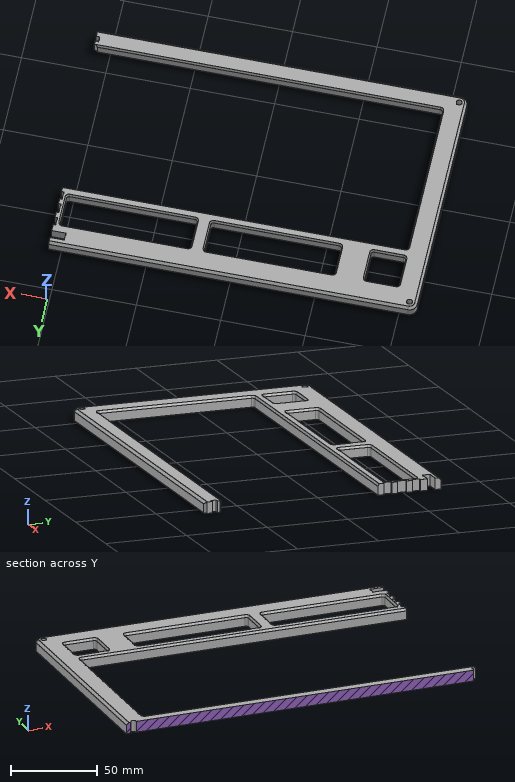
import cadquery as cq

length = 219.8
width = 147.3
thickness = 7.0
corner_radius = 4.6
outer_chamfer = 1.5
inner_chamfer_width = 0.77
inner_chamfer_depth = 1.5

upper_rail_end = 217.7
upper_rail_width = 39.4
lower_rail_width = 10.8
left_rail_width = 13.0
inner_radius = 1.5

hole_diameter = 3.3
hole_inset = 4.6

window_spans = [(left_rail_width, 33.5), (51.0, 128.5), (136.5, 214.0)]
window_top = width - 13.9
window_bottom = width - 34.0

slot_start = 209.0
slot_top = width - 4.0
slot_bottom = width - 8.5

upper_notch_start = 216.1
upper_notches = [
    (width - 17.8, width - 13.0),
    (width - 27.3, width - 21.5),
    (width - 35.6, width - 30.8),
]
lower_notch_start = 217.7
lower_notch = (4.6, 7.7)
lower_end_bevel_length = 2.2
lower_end_bevel_width = 1.3


def block(left, right, bottom, top):
    """Full-thickness box between the given X and Y limits."""
    return (
        cq.Workplane("XY")
        .box(right - left, top - bottom, thickness, centered=False)
        .translate((left, bottom, 0))
    )


def rounded_opening(left, right, bottom, top):
    """Cutter for an opening with rounded corners and a chamfered upper rim."""
    margin = inner_chamfer_width
    rim = (
        block(left - margin, right + margin, bottom - margin, top + margin)
        .edges("|Z")
        .fillet(inner_radius + margin)
        .translate((0, 0, thickness - inner_chamfer_depth))
        .faces("<Z")
        .chamfer(inner_chamfer_depth, margin)
    )
    return block(left, right, bottom, top).edges("|Z").fillet(inner_radius).union(rim)


plate = (
    block(0, length, 0, width)
    .edges("|Z and <X")
    .fillet(corner_radius)
    .faces(">Z")
    .edges("not >X")
    .chamfer(outer_chamfer)
)

frame = plate.cut(
    rounded_opening(left_rail_width, 2 * length, lower_rail_width, width - upper_rail_width)
)

frame = frame.cut(block(upper_rail_end, 2 * length, lower_rail_width, width))

for left, right in window_spans:
    frame = frame.cut(rounded_opening(left, right, window_bottom, window_top))

frame = frame.cut(block(slot_start, length, slot_bottom, slot_top))
for bottom, top in upper_notches:
    frame = frame.cut(block(upper_notch_start, length, bottom, top))
frame = frame.cut(block(lower_notch_start, length, *lower_notch))

for edge_y, inward in ((0, 1), (lower_rail_width, -1)):
    corner = (
        cq.Workplane("XY")
        .moveTo(length, edge_y + inward * lower_end_bevel_width)
        .lineTo(length - lower_end_bevel_length, edge_y)
        .lineTo(length, edge_y)
        .close()
        .extrude(thickness)
    )
    frame = frame.cut(corner)

holes = (
    cq.Workplane("XY")
    .pushPoints([(hole_inset, hole_inset), (hole_inset, width - hole_inset)])
    .circle(hole_diameter / 2)
    .extrude(thickness)
)
result = frame.cut(holes)